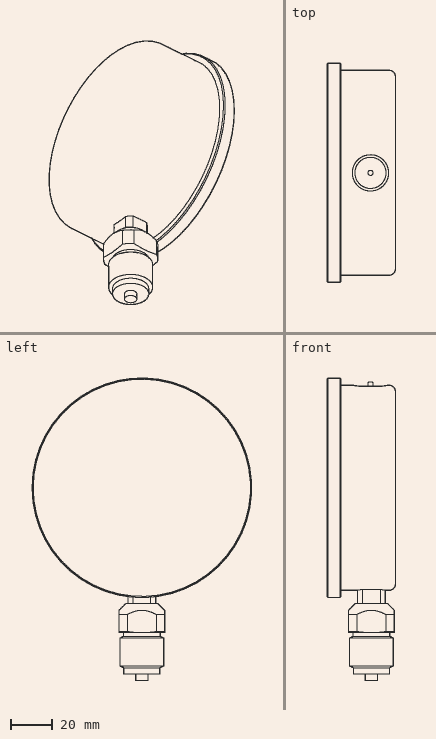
import cadquery as cq
import math

bezel_diameter = 105.9
bezel_width = 6.9
bezel_edge = 0.6
case_diameter = 99.0
case_depth = 33.1
case_rear_fillet = 3.2

plug_x = 21.0
seat_diameter = 17.5
plug_diameter = 15.0
plug_face_diameter = 12.4
plug_top_z = 49.0
pin_diameter = 2.5
pin_top_z = 51
pin_fillet = 0.6

stem_x = 21.5
neck_width = 13.5
neck_corner_diameter = 16
nut_width = 22.2
nut_corner_diameter = 26.2
nut_top_diameter = 15.5
nut_top_z = -55.7
nut_bottom_z = -69.8
nut_bottom_chamfer = 0.6
groove_diameter = 18.0
thread_diameter = 21.3
thread_top_z = -72.5
thread_top_chamfer_height = 0.9
thread_bottom_z = -85.9
thread_bottom_chamfer_height = 0.9
spigot_diameter = 17.5
spigot_end_z = -89.8
tip_diameter = 6.0
tip_end_z = bezel_diameter / 2 - 145.8


def cylinder_z(x, diameter, bottom, top):
    return cq.Workplane("XY", origin=(x, 0, bottom)).circle(diameter / 2).extrude(top - bottom)


def square_bar(width, bottom, top):
    bar = cq.Workplane("XY", origin=(stem_x, 0, bottom))
    return bar.rect(width, width).extrude(top - bottom)


def turned_on_stem(points):
    """Revolve a closed (radius, z) outline about the stem axis."""
    outline = cq.Workplane("XZ", origin=(stem_x, 0, 0)).polyline(points).close()
    return outline.revolve(360, (0, 0, 0), (0, 1, 0))


def make_case():
    bezel = cq.Workplane("YZ").circle(bezel_diameter / 2).extrude(bezel_width)
    bezel = bezel.edges().chamfer(bezel_edge)
    case = cq.Workplane("YZ").circle(case_diameter / 2).extrude(case_depth)
    case = case.faces(">X").edges().fillet(case_rear_fillet)
    return bezel.union(case)


def add_plug(case):
    """Sink a flat plug with a rounded rim into a round seat, and set its centre pin."""
    seat_radius = seat_diameter / 2
    plug_radius = plug_diameter / 2
    face_radius = plug_face_diameter / 2
    rim_round = plug_radius - face_radius
    floor_round = seat_radius - plug_radius
    valley_z = plug_top_z - rim_round
    diagonal = math.sqrt(0.5)
    rim_middle = (face_radius + rim_round * diagonal, valley_z + rim_round * diagonal)
    floor_middle = (plug_radius + floor_round * diagonal, valley_z + floor_round * (1 - diagonal))
    outline = (
        cq.Workplane("XZ", origin=(plug_x, 0, 0))
        .moveTo(0, plug_top_z)
        .lineTo(face_radius, plug_top_z)
        .threePointArc(rim_middle, (plug_radius, valley_z))
        .threePointArc(floor_middle, (seat_radius, valley_z + floor_round))
        .lineTo(seat_radius, bezel_diameter / 2)
        .lineTo(0, bezel_diameter / 2)
        .close()
    )
    seat = outline.revolve(360, (0, 0, 0), (0, 1, 0))
    pin = cylinder_z(plug_x, pin_diameter, valley_z, pin_top_z)
    pin = pin.faces(">Z").edges().fillet(pin_fillet)
    return case.cut(seat).union(pin)


def make_neck():
    """Square neck with turned corners, rooted inside the case."""
    root_z = -case_diameter / 2 + 2 * case_rear_fillet
    neck = square_bar(neck_width, nut_top_z, root_z)
    return neck.intersect(cylinder_z(stem_x, neck_corner_diameter, nut_top_z, root_z))


def make_nut():
    """Square nut whose corners are turned round, with a 45 degree cone on top."""
    corner_radius = nut_corner_diameter / 2
    top_radius = nut_top_diameter / 2
    turned = turned_on_stem([
        (0, nut_top_z),
        (top_radius, nut_top_z),
        (corner_radius, nut_top_z - (corner_radius - top_radius)),
        (corner_radius, nut_bottom_z + nut_bottom_chamfer),
        (nut_width / 2, nut_bottom_z),
        (0, nut_bottom_z),
    ])
    return square_bar(nut_width, nut_bottom_z, nut_top_z).intersect(turned)


def make_threaded_end():
    groove_radius = groove_diameter / 2
    thread_radius = thread_diameter / 2
    spigot_radius = spigot_diameter / 2
    tip_radius = tip_diameter / 2
    return turned_on_stem([
        (0, nut_bottom_z),
        (groove_radius, nut_bottom_z),
        (groove_radius, thread_top_z + thread_top_chamfer_height),
        (thread_radius, thread_top_z),
        (thread_radius, thread_bottom_z),
        (spigot_radius, thread_bottom_z - thread_bottom_chamfer_height),
        (spigot_radius, spigot_end_z),
        (tip_radius, spigot_end_z),
        (tip_radius, tip_end_z),
        (0, tip_end_z),
    ])


result = add_plug(make_case()).union(make_neck()).union(make_nut()).union(make_threaded_end())